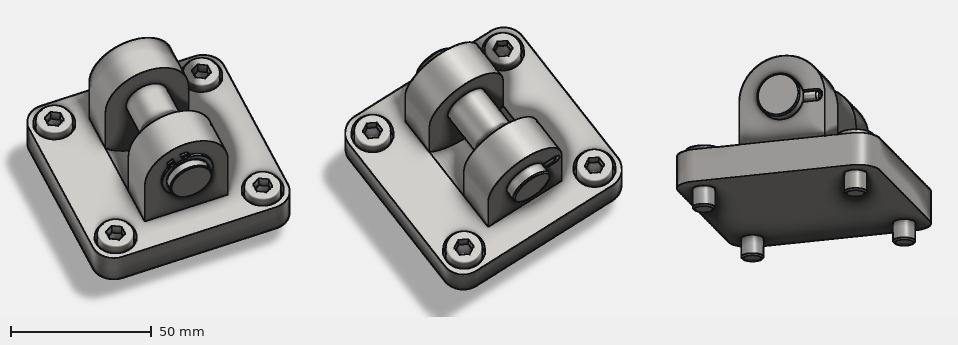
import cadquery as cq
import math

PLATE_SIDE = 75.0
PLATE_THICKNESS = 12.0
PLATE_CORNER_RADIUS = 8.0

LUG_RADIUS = 16.0
LUG_THICKNESS = 15.0
LUG_GAP = 21.3
LUG_INNER_X = LUG_GAP / 2
LUG_OUTER_X = LUG_INNER_X + LUG_THICKNESS
PIN_HEIGHT = PLATE_THICKNESS + 20.0

TROUGH_RADIUS = 22.5
TROUGH_AXIS_HEIGHT = PLATE_THICKNESS + math.sqrt(TROUGH_RADIUS**2 - LUG_RADIUS**2)

PIN_RADIUS = 7.99
PIN_START_X = -30.15
PIN_END_X = 30.4
PIN_START_CHAMFER = 0.5
PIN_END_CHAMFER = 0.4

GROOVE_RADIUS = 7.61
GROOVE_WIDTH = 1.1
RING_THICKNESS = 1.0
RING_OUTER_RADIUS = 9.75
RING_OFFSET = 0.4
RING_TURN = 20.0
EAR_REACH = 11.25
EAR_ROOT_HALF_SPAN = 4.5
EAR_TIP_HALF_SPAN = 3.9
EAR_ROOT_REACH = 8.6
EAR_GAP = 3.0
EAR_HOLE_DIAMETER = 1.7
EAR_HOLE_OFFSET = 2.85
EAR_HOLE_REACH = 9.4

DOWEL_DIAMETER = 4.0
DOWEL_PROTRUSION = 0.2
DOWEL_CHAMFER = 0.9
DOWEL_END_Y = -13.6
SLOT_WIDTH = 4.5
SLOT_END_Y = -15.0
SLOT_DEPTH = DOWEL_DIAMETER - DOWEL_PROTRUSION

SCREW_OFFSET = 28.3
SHANK_RADIUS = 4.01
SHANK_PROTRUSION = 7.5
SHANK_CHAMFER = 0.7
HEAD_RADIUS = 6.49
HEAD_HEIGHT = 8.0
HEAD_PROTRUSION = 2.5
HEAD_FILLET = 0.6
COUNTERBORE_RADIUS = 7.5
SOCKET_FLATS = 6.0
SOCKET_DEPTH = 3.75
SOCKET_POINT_ANGLE = 120.0
HEAD_TOP = PLATE_THICKNESS + HEAD_PROTRUSION
HEAD_SEAT = HEAD_TOP - HEAD_HEIGHT


def x_cylinder(radius, start_x, length, z=PIN_HEIGHT):
    """Cylinder along +X, on the mid-plane Y = 0."""
    return cq.Workplane("YZ", origin=(start_x, 0, z)).circle(radius).extrude(length)


def make_plate():
    plate = (
        cq.Workplane("XY")
        .rect(PLATE_SIDE, PLATE_SIDE)
        .extrude(PLATE_THICKNESS)
        .edges("|Z")
        .fillet(PLATE_CORNER_RADIUS)
    )
    trough = x_cylinder(TROUGH_RADIUS, -LUG_INNER_X, LUG_GAP, z=TROUGH_AXIS_HEIGHT)
    return plate.cut(trough)


def make_lug(start_x):
    return (
        cq.Workplane("YZ", origin=(start_x, 0, 0))
        .moveTo(-LUG_RADIUS, PLATE_THICKNESS)
        .lineTo(-LUG_RADIUS, PIN_HEIGHT)
        .threePointArc((0, PIN_HEIGHT + LUG_RADIUS), (LUG_RADIUS, PIN_HEIGHT))
        .lineTo(LUG_RADIUS, PLATE_THICKNESS)
        .close()
        .extrude(LUG_THICKNESS)
    )


def make_pin():
    pin = x_cylinder(PIN_RADIUS, PIN_START_X, PIN_END_X - PIN_START_X)
    pin = pin.faces("<X").chamfer(PIN_START_CHAMFER)
    pin = pin.faces(">X").chamfer(PIN_END_CHAMFER)
    groove = x_cylinder(PIN_RADIUS, LUG_OUTER_X, GROOVE_WIDTH).cut(
        x_cylinder(GROOVE_RADIUS, LUG_OUTER_X, GROOVE_WIDTH)
    )
    return pin.cut(groove)


def make_retaining_ring():
    """Open ring with two drilled ears, thickest opposite its opening."""
    plane = cq.Workplane("YZ", origin=(LUG_OUTER_X, 0, PIN_HEIGHT))
    ring = plane.center(0, -RING_OFFSET).circle(RING_OUTER_RADIUS).extrude(RING_THICKNESS)
    ear_wedge = (
        plane.moveTo(-EAR_ROOT_HALF_SPAN, EAR_ROOT_REACH)
        .lineTo(-EAR_TIP_HALF_SPAN, EAR_REACH)
        .lineTo(EAR_TIP_HALF_SPAN, EAR_REACH)
        .lineTo(EAR_ROOT_HALF_SPAN, EAR_ROOT_REACH)
        .close()
        .extrude(RING_THICKNESS)
    )
    ears = plane.circle(EAR_REACH).extrude(RING_THICKNESS).intersect(ear_wedge)
    opening = plane.center(0, EAR_REACH / 2).rect(EAR_GAP, EAR_REACH).extrude(RING_THICKNESS)
    bore = plane.circle(GROOVE_RADIUS).extrude(RING_THICKNESS)
    holes = (
        plane.pushPoints([(-EAR_HOLE_OFFSET, EAR_HOLE_REACH), (EAR_HOLE_OFFSET, EAR_HOLE_REACH)])
        .circle(EAR_HOLE_DIAMETER / 2)
        .extrude(RING_THICKNESS)
    )
    ring = ring.union(ears).cut(opening).cut(bore).cut(holes)
    return ring.rotate((0, 0, PIN_HEIGHT), (1, 0, PIN_HEIGHT), RING_TURN)


def make_dowel_slot():
    return (
        cq.Workplane("YZ", origin=(-LUG_OUTER_X, SLOT_END_Y / 2, PIN_HEIGHT))
        .slot2D(-SLOT_END_Y, SLOT_WIDTH)
        .extrude(SLOT_DEPTH)
    )


def make_dowel():
    axis_x = -LUG_OUTER_X - DOWEL_PROTRUSION + DOWEL_DIAMETER / 2
    return (
        cq.Workplane("XZ", origin=(axis_x, 0, PIN_HEIGHT))
        .circle(DOWEL_DIAMETER / 2)
        .extrude(-DOWEL_END_Y)
        .faces("<Y")
        .chamfer(DOWEL_CHAMFER, DOWEL_CHAMFER / 2)
    )


def make_socket():
    """Hexagonal socket with a drill-point bottom, its corners along X."""
    corner_radius = SOCKET_FLATS / math.sqrt(3)
    point_depth = corner_radius / math.tan(math.radians(SOCKET_POINT_ANGLE / 2))
    hexagon = (
        cq.Workplane("XY", origin=(0, 0, HEAD_TOP))
        .polygon(6, 2 * corner_radius)
        .extrude(-SOCKET_DEPTH - point_depth)
    )
    drill = (
        cq.Workplane("XZ", origin=(0, 0, HEAD_TOP))
        .lineTo(corner_radius, 0)
        .lineTo(corner_radius, -SOCKET_DEPTH)
        .lineTo(0, -SOCKET_DEPTH - point_depth)
        .close()
        .revolve(360, (0, 0), (0, 1))
    )
    return hexagon.intersect(drill)


def make_screw():
    head = (
        cq.Workplane("XY", origin=(0, 0, HEAD_SEAT))
        .circle(HEAD_RADIUS)
        .extrude(HEAD_HEIGHT)
        .faces(">Z")
        .edges()
        .fillet(HEAD_FILLET)
    )
    shank = (
        cq.Workplane("XY", origin=(0, 0, -SHANK_PROTRUSION))
        .circle(SHANK_RADIUS)
        .extrude(SHANK_PROTRUSION + HEAD_SEAT)
        .faces("<Z")
        .chamfer(SHANK_CHAMFER)
    )
    return head.union(shank).cut(make_socket())


def make_counterbore():
    return (
        cq.Workplane("XY", origin=(0, 0, HEAD_SEAT))
        .circle(COUNTERBORE_RADIUS)
        .extrude(PLATE_THICKNESS - HEAD_SEAT)
    )


body = make_plate()
for lug_start_x in (-LUG_OUTER_X, LUG_INNER_X):
    body = body.union(make_lug(lug_start_x))
body = body.cut(make_dowel_slot())

for screw_x in (-SCREW_OFFSET, SCREW_OFFSET):
    for screw_y in (-SCREW_OFFSET, SCREW_OFFSET):
        place = (screw_x, screw_y, 0)
        body = body.cut(make_counterbore().translate(place))
        body = body.union(make_screw().translate(place))

result = body.union(make_dowel()).union(make_pin()).union(make_retaining_ring())